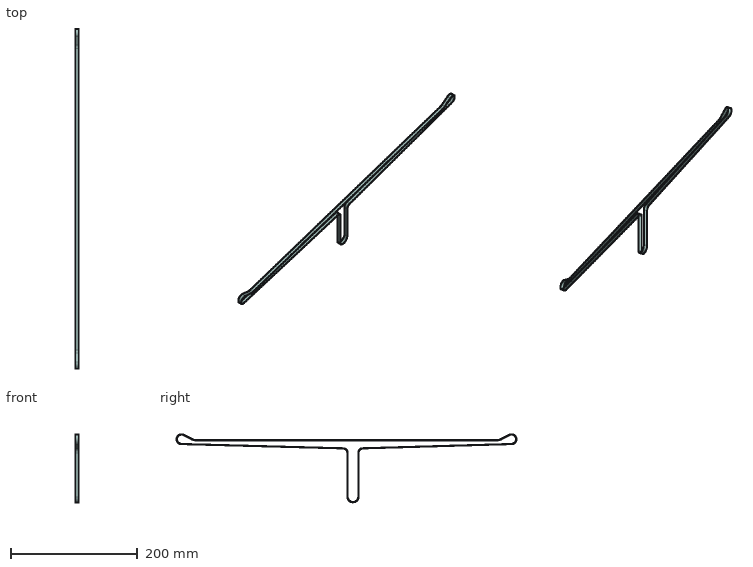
import cadquery as cq
import math

length = 536.0
height = 108.0
strip_width = 6.0
strip_thickness = 0.95

loop_radius = 8.0
loop_y = length / 2 - loop_radius
top_z = height / 2
loop_z = top_z - loop_radius

bar_z = top_z - 9.0
bar_half_length = 240.0
bar_bend_radius = 10.5

stem_y = 10.0
stem_half_width = 9.0
stem_arc_z = -height / 2 + stem_half_width
stem_top_z = top_z - 23.0
stem_bend_radius = 6.5


def tangent_point(center, point, radius, turn):
    """Point where a line from `point` touches the circle; turn is +1 or -1 to pick the side."""
    dy = point[0] - center[0]
    dz = point[1] - center[1]
    angle = math.atan2(dz, dy) + turn * math.acos(radius / math.hypot(dy, dz))
    return (center[0] + radius * math.cos(angle), center[1] + radius * math.sin(angle))


def end_points(side):
    """Leg corner, leg tangent, loop tip, ramp tangent and bar bend on one side (+1 or -1 in Y)."""
    center = (side * loop_y, loop_z)
    corner = (stem_y + side * stem_half_width, stem_top_z)
    bend = (side * bar_half_length, bar_z)
    leg_end = tangent_point(center, corner, loop_radius, side)
    ramp_end = tangent_point(center, bend, loop_radius, -side)
    tip = (side * length / 2, loop_z)
    return corner, leg_end, tip, ramp_end, bend


right_corner, right_leg, right_tip, right_ramp, right_bend = end_points(1)
left_corner, left_leg, left_tip, left_ramp, left_bend = end_points(-1)
sharp_body = (
    cq.Workplane("YZ")
    .moveTo(*right_corner)
    .lineTo(*right_leg)
    .threePointArc(right_tip, right_ramp)
    .lineTo(*right_bend)
    .lineTo(*left_bend)
    .lineTo(*left_ramp)
    .threePointArc(left_tip, left_leg)
    .lineTo(*left_corner)
    .lineTo(stem_y - stem_half_width, stem_arc_z)
    .threePointArc((stem_y, -height / 2), (stem_y + stem_half_width, stem_arc_z))
    .close()
    .extrude(strip_width / 2, both=True)
)


def round_corners(body, corners, radius):
    """Fillet the edges along X that pass through the given YZ corners."""
    for y, z in corners:
        edge = cq.selectors.NearestToPointSelector((0, y, z))
        body = body.edges("|X").edges(edge).fillet(radius)
    return body


body = round_corners(sharp_body, [right_bend, left_bend], bar_bend_radius)
body = round_corners(body, [right_corner, left_corner], stem_bend_radius)

result = body.faces("<X or >X").shell(-strip_thickness)